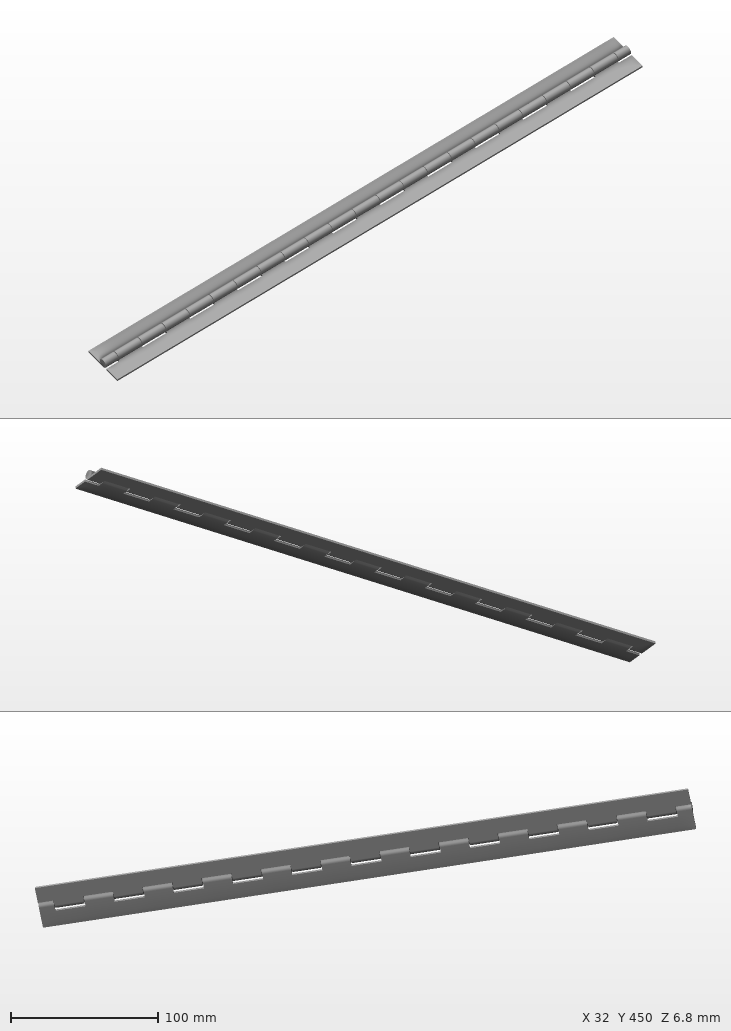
import cadquery as cq

LENGTH = 450.0
OPEN_WIDTH = 32.0
KNUCKLE_DIAMETER = 6.8
SHEET = 1.6

WHOLE_KNUCKLES = 21
END_KNUCKLE = 11.0
KNUCKLE_GAP = 0.5

LEFT_NOTCH_DEPTH = 4.15
RIGHT_NOTCH_DEPTH = 4.0

LEAF_WIDTH = OPEN_WIDTH / 2
PIN_DIAMETER = KNUCKLE_DIAMETER - 2 * SHEET
AXIS_Z = KNUCKLE_DIAMETER / 2
PITCH = (LENGTH - 2 * END_KNUCKLE) / WHOLE_KNUCKLES
LAST_PLACE = WHOLE_KNUCKLES + 1


def rod(diameter):
    """Full-length cylinder on the pin axis."""
    end_plane = cq.Workplane("XZ", origin=(0, LENGTH / 2, AXIS_Z))
    return end_plane.circle(diameter / 2).extrude(LENGTH)


def uncut_leaf(side):
    """Flat leaf on one side (-1 or +1 in X), running tangent into a full-length knuckle barrel."""
    plate = cq.Workplane("XY").box(LEAF_WIDTH, LENGTH, SHEET, centered=(True, True, False))
    plate = plate.translate((side * LEAF_WIDTH / 2, 0, 0))
    return plate.union(rod(KNUCKLE_DIAMETER)).cut(rod(PIN_DIAMETER))


def place_y(place):
    """Y of the middle of a pitch; an end place reaches past the end of the hinge."""
    return END_KNUCKLE + (place - 0.5) * PITCH - LENGTH / 2


def leaf(side, notch_depth, first_notch):
    """Leaf with every second knuckle place, from first_notch on, cleared for the other leaf."""
    body = uncut_leaf(side)
    notch = cq.Workplane("XY").box(2 * notch_depth, PITCH + KNUCKLE_GAP, 2 * KNUCKLE_DIAMETER)
    for place in range(first_notch, LAST_PLACE + 1, 2):
        body = body.cut(notch.translate((0, place_y(place), AXIS_Z)))
    return body


left_leaf = leaf(side=-1, notch_depth=LEFT_NOTCH_DEPTH, first_notch=1)
right_leaf = leaf(side=1, notch_depth=RIGHT_NOTCH_DEPTH, first_notch=0)

pin = rod(PIN_DIAMETER)

result = cq.Compound.makeCompound([left_leaf.solids().val(), right_leaf.solids().val(), pin.val()])